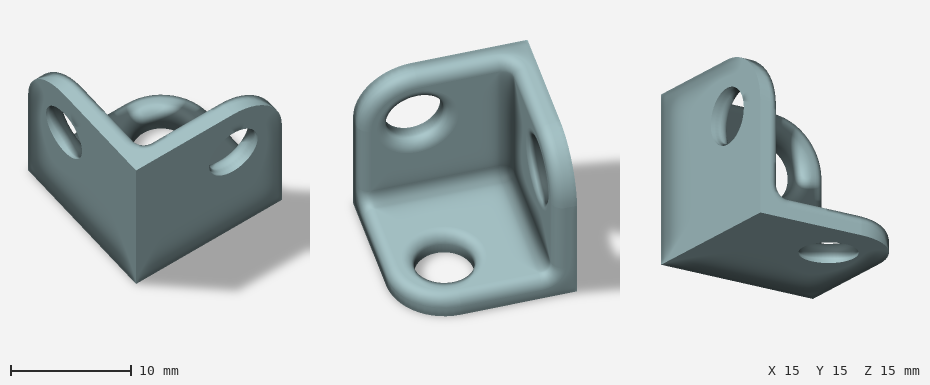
import cadquery as cq

side = 15
plate_thickness = 2.0
corner_radius = 5.0
hole_diameter = 5.0

edge_round = plate_thickness / 2
inner_x = side - plate_thickness
inner_y = plate_thickness
inner_z = plate_thickness
hole_inset = corner_radius
far_inset = side - hole_inset


def make_plates():
    """Three square plates meeting at the +X, -Y, -Z corner of a cube."""
    cube = cq.Workplane("XY").box(side, side, side, centered=False)
    cavity = (
        cq.Workplane("XY")
        .box(inner_x, side - inner_y, side - inner_z, centered=False)
        .translate((0, inner_y, inner_z))
    )
    return cube.cut(cavity)


def round_free_corners(body):
    """Round the free corner of each plate through its thickness."""
    half = plate_thickness / 2
    corner_edges = [
        (0, half, side),
        (0, side, half),
        (side - half, side, side),
    ]
    for point in corner_edges:
        body = body.edges(cq.NearestToPointSelector(point)).fillet(corner_radius)
    return body


def blend_inner_corner(body):
    """Fillet the three concave edges where the plates meet."""
    inner_edges = (
        body.edges(cq.NearestToPointSelector((inner_x / 2, inner_y, inner_z)))
        .add(body.edges(cq.NearestToPointSelector((inner_x, side / 2, inner_z))))
        .add(body.edges(cq.NearestToPointSelector((inner_x, inner_y, side / 2))))
    )
    return inner_edges.fillet(edge_round)


def round_rim(body):
    """Round the inner rim, one tangent loop running around all three plates."""
    rim_edge = body.edges(cq.NearestToPointSelector((side / 2, inner_y, side)))
    return rim_edge.fillet(edge_round)


def rounded_hole(body, inner_center, outward):
    """Drill a plate from its inner face and round the hole's inner mouth."""
    mouth_plane = cq.Plane(origin=inner_center, normal=outward)
    hole_radius = hole_diameter / 2
    drill = cq.Workplane(mouth_plane).circle(hole_radius).extrude(plate_thickness)
    flare = (
        cq.Workplane(mouth_plane)
        .circle(hole_radius + edge_round)
        .extrude(edge_round)
    )
    ring = cq.Workplane(
        cq.Solid.makeTorus(
            hole_radius + edge_round,
            edge_round,
            mouth_plane.origin + mouth_plane.zDir * edge_round,
            mouth_plane.zDir,
        )
    )
    return body.cut(drill).cut(flare.cut(ring))


body = make_plates()
body = round_free_corners(body)
body = blend_inner_corner(body)
body = round_rim(body)
body = rounded_hole(body, (hole_inset, inner_y, far_inset), (0, -1, 0))
body = rounded_hole(body, (hole_inset, far_inset, inner_z), (0, 0, -1))
body = rounded_hole(body, (inner_x, far_inset, far_inset), (1, 0, 0))

result = body